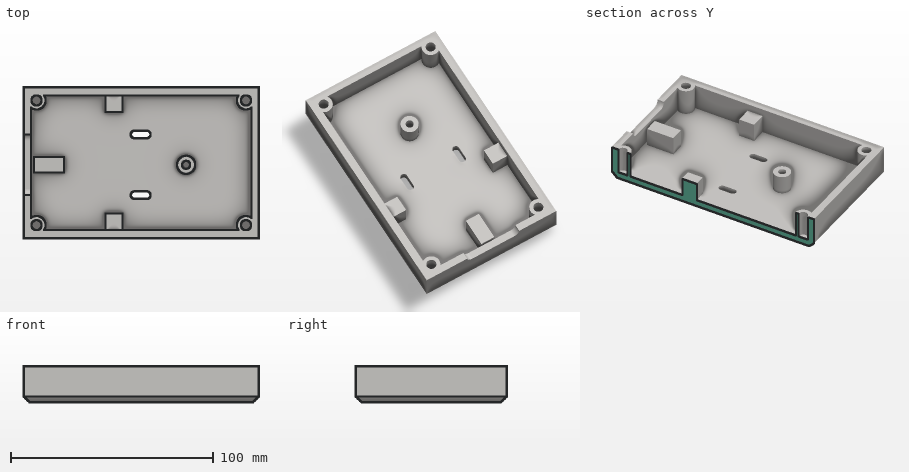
import cadquery as cq

LENGTH = 116.39
WIDTH = 74.72
HEIGHT = 18.0
END_WALL = 3.7
SIDE_WALL = 4.0
FLOOR = 4.0
BASE_CHAMFER = 3.0

FITTING_Y = -1.0
FITTING_HEIGHT = 10.0

POST_DIAMETER = 9.0
POST_HOLE_DIAMETER = 5.0
POST_SPACING_X = 103.6
POST_SPACING_Y = 61.7

BOSS_X = 22.2
BOSS_HOLE_DIAMETER = 4.0

SIDE_BLOCK_X = -13.5
SIDE_BLOCK_LENGTH = 8.6
SIDE_BLOCK_INNER_SPAN = 50.0
END_BLOCK_X = -45.6
END_BLOCK_LENGTH = 15.0
END_BLOCK_WIDTH = 7.5

SLOT_X = -0.3
SLOT_LENGTH = 9.7
SLOT_WIDTH = 3.6
SLOT_SPACING = 30.0

NOTCH_WIDTH = 30.0
NOTCH_DEPTH = 3.0

CAVITY_LENGTH = LENGTH - 2 * END_WALL
CAVITY_WIDTH = WIDTH - 2 * SIDE_WALL


def block(x_min, x_max, y_min, y_max, z_min, z_max):
    """Return an axis-aligned box given by its limits."""
    size = (x_max - x_min, y_max - y_min, z_max - z_min)
    return cq.Workplane("XY").box(*size, centered=False).translate((x_min, y_min, z_min))


def make_tray():
    """Open tray with a chamfered underside."""
    outer = cq.Workplane("XY").box(LENGTH, WIDTH, HEIGHT, centered=(True, True, False))
    outer = outer.faces("<Z").chamfer(BASE_CHAMFER)
    cavity = (
        cq.Workplane("XY")
        .workplane(offset=FLOOR)
        .rect(CAVITY_LENGTH, CAVITY_WIDTH)
        .extrude(HEIGHT - FLOOR)
    )
    return outer.cut(cavity)


def floor_cylinders(points, diameter, height):
    """Cylinders rising from the floor at the given XY points."""
    return (
        cq.Workplane("XY")
        .workplane(offset=FLOOR)
        .pushPoints(points)
        .circle(diameter / 2)
        .extrude(height)
    )


def add_drilled_posts(body, points, hole_diameter, height):
    """Add round posts, each with a blind hole reaching the floor."""
    body = body.union(floor_cylinders(points, POST_DIAMETER, height))
    return body.cut(floor_cylinders(points, hole_diameter, height))


def add_blocks(body):
    """Add the two blocks against the side walls and the one near the -X wall."""
    for side in (-1, 1):
        inner_y = side * SIDE_BLOCK_INNER_SPAN / 2
        wall_y = side * CAVITY_WIDTH / 2
        body = body.union(
            block(
                SIDE_BLOCK_X - SIDE_BLOCK_LENGTH / 2,
                SIDE_BLOCK_X + SIDE_BLOCK_LENGTH / 2,
                min(inner_y, wall_y),
                max(inner_y, wall_y),
                FLOOR,
                FLOOR + FITTING_HEIGHT,
            )
        )
    return body.union(
        block(
            END_BLOCK_X - END_BLOCK_LENGTH / 2,
            END_BLOCK_X + END_BLOCK_LENGTH / 2,
            FITTING_Y - END_BLOCK_WIDTH / 2,
            FITTING_Y + END_BLOCK_WIDTH / 2,
            FLOOR,
            FLOOR + FITTING_HEIGHT,
        )
    )


def cut_slots(body):
    """Cut the two round-ended slots through the floor."""
    slots = (
        cq.Workplane("XY")
        .center(SLOT_X, FITTING_Y)
        .rarray(1, SLOT_SPACING, 1, 2)
        .slot2D(SLOT_LENGTH, SLOT_WIDTH)
        .extrude(FLOOR)
    )
    return body.cut(slots)


def cut_notch(body):
    """Cut the rim notch, whose lower corners are quarter rounds of its full depth."""
    half_width = NOTCH_WIDTH / 2
    notch = (
        block(
            -LENGTH / 2,
            -CAVITY_LENGTH / 2,
            FITTING_Y - half_width,
            FITTING_Y + half_width,
            HEIGHT - NOTCH_DEPTH,
            HEIGHT + NOTCH_DEPTH,
        )
        .edges("|X and <Z")
        .fillet(NOTCH_DEPTH)
    )
    return body.cut(notch)


corner_points = [
    (x * POST_SPACING_X / 2, y * POST_SPACING_Y / 2) for x in (-1, 1) for y in (-1, 1)
]

result = make_tray()
result = add_drilled_posts(result, corner_points, POST_HOLE_DIAMETER, HEIGHT - FLOOR)
result = add_drilled_posts(result, [(BOSS_X, FITTING_Y)], BOSS_HOLE_DIAMETER, FITTING_HEIGHT)
result = add_blocks(result)
result = cut_slots(result)
result = cut_notch(result)